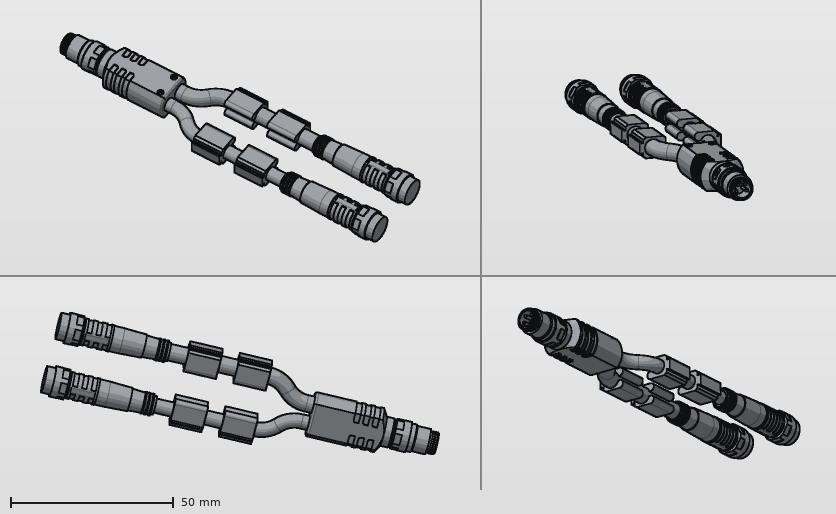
import math

import cadquery as cq


LENGTH = 122.1
WIDTH = 27.6

NUT_DIA = 9.6
NUT_FLAT_COUNT = 6
NUT_ACROSS_FLATS = 9.0
NUT_FLAT_LENGTH = 2.2

RIDGE_DIA = 7.0
RIDGE_BASE_DIA = 6.5

SLEEVE_DIA = 8.0
COLLAR_DIA = 8.8
COLLAR_BEVEL = 0.4
WAIST_DIA = 7.0
NECK_DIA = 9.3
NECK_ENTRY_DIA = 8.4
NECK_BEVEL = 0.6
TIP_RIDGE_STARTS = (0.4, 1.3)
TIP_RIDGE_LENGTH = 0.6
SLEEVE_START = 2.7
COLLAR_START = 7.0
MALE_NUT_START = 8.9
MALE_NUT_END = 13.5
NECK_START = 13.9
SOCKET_DIA = 5.3
SOCKET_DEPTH = 4.9
PIN_DIA = 1.0
PIN_TIP = 1.0
PIN_ROOT = 6.1
PIN_CIRCLE_DIA = 3.7
PIN_ANGLES = (-20, 52, 128, 200)

BODY_START = 16.8
BODY_END = 39.9
BODY_WIDTH = 14.0
BODY_HEIGHT = 9.4
BODY_TOP_WIDTH = 10.1
NOSE_LENGTH = 1.5
REAR_FILLET = 0.6
GRIP_FIRST = 19.4
GRIP_PITCH = 2.9
GRIP_COUNT = 3
GRIP_LENGTH = 1.7
GRIP_DEPTH = 0.3
GRIP_CORNER = 0.7
GRIP_GAP = 4.4
SCREW_X = 37.5
SCREW_SPACING = 7.5
SCREW_HEAD_DIA = 2.0
SCREW_HEAD_DEPTH = 0.6
SCREW_DIA = 1.1
SCREW_DEPTH = 1.8

CABLE_DIAS = {1: 5.3, -1: 4.5}
CABLE_SPACING = 6.1
CABLE_ANCHOR = 1.2
BEND_START = 42.1
BEND_END = 55.4
ARM_Y = (WIDTH - NUT_DIA) / 2

CLIP_STARTS = (55.4, 71.2)
CLIP_LENGTH = 10.3
CLIP_HEIGHT = 6.7
CLIP_INNER = 4.3
CLIP_OUTER = 4.4
CLIP_LIP_RADIUS = 1.2
CLIP_TOP_EDGE = 2.3
CLIP_LEDGE = 3.2
CLIP_LEDGE_HEIGHT = 5.4
CLIP_PLATE_HEIGHT = 3.9
CLIP_PLATE_THICKNESS = 0.7
CLIP_STEM_HEIGHT = 3.2
CLIP_MOUTH_HEIGHT = 1.5

RELIEF_START = 87.0
RELIEF_END = 91.0
RELIEF_ENTRY_DIA = 5.9
RELIEF_ENTRY_LENGTH = 0.9
RELIEF_RIDGE_FIRST = 87.9
RELIEF_RIDGE_PITCH = 1.2
RELIEF_RIDGE_COUNT = 3
RELIEF_RIDGE_LENGTH = 0.5
TAPER_STEP = 95.0
TAPER_STEP_DIA = 7.5
TAPER_END = 102.2
TAPER_END_DIA = 8.0
HANDLE_START = 105.4
HANDLE_DIA = 8.4
HANDLE_END = 114.3
HANDLE_NECK_DIA = 6.5
FEMALE_NUT_START = 114.9
FEMALE_NUT_END = 119.4
FEMALE_END_DIA = 8.4
HANDLE_GRIP_FIRST = 106.1
HANDLE_GRIP_PITCH = 2.9
HANDLE_GRIP_COUNT = 3
HANDLE_GRIP_LENGTH = 1.5
HANDLE_GRIP_DEPTH = 0.2
HANDLE_GRIP_GAP = 2.7
PAD_LENGTH = 7.6
PAD_WIDTH = 1.6


def turned(start, end, dia, end_dia=None):
    """Cylinder on the X axis, or a cone when the end diameter differs."""
    if end_dia is None:
        end_dia = dia
    outline = [(start, 0), (start, dia / 2), (end, end_dia / 2), (end, 0)]
    return cq.Workplane("XY").polyline(outline).close().revolve(360, (0, 0, 0), (1, 0, 0))


def block(start, length, y_min, y_max, z_min, z_max):
    size = (length, y_max - y_min, z_max - z_min)
    return cq.Workplane("XY").box(*size, centered=False).translate((start, y_min, z_min))


def nut(start, end, flats_start):
    """Round nut with flats along part of its length, one flat facing up."""
    ring = turned(start, end, NUT_DIA)
    flat = block(flats_start, NUT_FLAT_LENGTH, -NUT_DIA / 2, NUT_DIA / 2, NUT_ACROSS_FLATS / 2, NUT_DIA)
    for i in range(NUT_FLAT_COUNT):
        ring = ring.cut(flat.rotate((0, 0, 0), (1, 0, 0), i * 360 / NUT_FLAT_COUNT))
    return ring


def male_connector():
    plug = turned(0, SLEEVE_START, RIDGE_BASE_DIA)
    for start in TIP_RIDGE_STARTS:
        plug = plug.union(turned(start, start + TIP_RIDGE_LENGTH, RIDGE_DIA))
    plug = plug.union(turned(SLEEVE_START, COLLAR_START, SLEEVE_DIA))
    plug = plug.union(turned(COLLAR_START, COLLAR_START + COLLAR_BEVEL, SLEEVE_DIA, COLLAR_DIA))
    plug = plug.union(turned(COLLAR_START + COLLAR_BEVEL, MALE_NUT_START, COLLAR_DIA))
    plug = plug.union(nut(MALE_NUT_START, MALE_NUT_END, MALE_NUT_END - NUT_FLAT_LENGTH))
    plug = plug.union(turned(MALE_NUT_END, NECK_START, WAIST_DIA))
    plug = plug.union(turned(NECK_START, NECK_START + NECK_BEVEL, NECK_ENTRY_DIA, NECK_DIA))
    plug = plug.union(turned(NECK_START + NECK_BEVEL, BODY_START + NOSE_LENGTH, NECK_DIA))
    plug = plug.cut(turned(0, SOCKET_DEPTH, SOCKET_DIA))
    for angle in PIN_ANGLES:
        y = PIN_CIRCLE_DIA / 2 * math.cos(math.radians(angle))
        z = PIN_CIRCLE_DIA / 2 * math.sin(math.radians(angle))
        plug = plug.union(turned(PIN_TIP, PIN_ROOT, PIN_DIA).translate((0, y, z)))
    return plug


def body_prism(start, length, inset=0.0):
    """Junction body section, flat above and below with bowed sides."""
    top = BODY_HEIGHT / 2 - inset
    edge = BODY_TOP_WIDTH / 2
    side = BODY_WIDTH / 2 - inset
    section = (
        cq.Workplane("YZ", origin=(start, 0, 0))
        .moveTo(-edge, top)
        .lineTo(edge, top)
        .threePointArc((side, 0), (edge, -top))
        .lineTo(-edge, -top)
        .threePointArc((-side, 0), (-edge, top))
        .close()
    )
    return section.extrude(length)


def junction_body():
    body = body_prism(BODY_START, BODY_END - BODY_START).faces(">X").edges().fillet(REAR_FILLET)
    nose_end = BODY_START + NOSE_LENGTH
    envelope = turned(BODY_START, nose_end, NECK_DIA, BODY_WIDTH)
    body = body.intersect(envelope.union(turned(nose_end, BODY_END, 2 * BODY_WIDTH)))

    for i in range(GRIP_COUNT):
        start = GRIP_FIRST + i * GRIP_PITCH
        skin = body_prism(start, GRIP_LENGTH).cut(body_prism(start, GRIP_LENGTH, GRIP_DEPTH))
        slot = block(start, GRIP_LENGTH, GRIP_GAP / 2, BODY_WIDTH, -BODY_HEIGHT, BODY_HEIGHT)
        slot = slot.edges("|Z and >X and <Y").fillet(GRIP_CORNER).intersect(skin)
        body = body.cut(slot).cut(slot.mirror("XZ"))

    screws = (
        cq.Workplane("XY", origin=(0, 0, BODY_HEIGHT / 2))
        .pushPoints([(SCREW_X, SCREW_SPACING / 2), (SCREW_X, -SCREW_SPACING / 2)])
    )
    body = body.cut(screws.circle(SCREW_HEAD_DIA / 2).extrude(-SCREW_HEAD_DEPTH))
    return body.cut(screws.circle(SCREW_DIA / 2).extrude(-SCREW_DEPTH))


def cable(side):
    """Cable leaving the junction body and swinging out in an S-bend."""
    inner_y = side * CABLE_SPACING / 2
    outer_y = side * ARM_Y
    start = BODY_END - CABLE_ANCHOR
    path = (
        cq.Workplane("XY")
        .moveTo(start, inner_y)
        .lineTo(BEND_START, inner_y)
        .tangentArcPoint(((BEND_START + BEND_END) / 2, (inner_y + outer_y) / 2), relative=False)
        .tangentArcPoint((BEND_END, outer_y), relative=False)
        .lineTo(RELIEF_END, outer_y)
    )
    section = cq.Workplane("YZ", origin=(start, inner_y, 0)).circle(CABLE_DIAS[side] / 2)
    return section.sweep(path)


def clip(start, cable_dia):
    """Label clip with its mouth towards -Y and its label plate towards +Y."""
    top = CLIP_HEIGHT / 2
    ledge = CLIP_LEDGE_HEIGHT / 2
    plate = CLIP_PLATE_HEIGHT / 2
    stem = CLIP_STEM_HEIGHT / 2
    plate_back = CLIP_OUTER - CLIP_PLATE_THICKNESS
    prism = (
        cq.Workplane("YZ", origin=(start, 0, 0))
        .moveTo(-CLIP_INNER, top)
        .lineTo(CLIP_TOP_EDGE, top)
        .lineTo(CLIP_LEDGE, ledge)
        .lineTo(CLIP_LEDGE, stem)
        .lineTo(plate_back, stem)
        .lineTo(plate_back, plate)
        .lineTo(CLIP_OUTER, plate)
        .lineTo(CLIP_OUTER, -plate)
        .lineTo(plate_back, -plate)
        .lineTo(plate_back, -stem)
        .lineTo(CLIP_LEDGE, -stem)
        .lineTo(CLIP_LEDGE, -ledge)
        .lineTo(CLIP_TOP_EDGE, -top)
        .lineTo(-CLIP_INNER, -top)
        .close()
        .extrude(CLIP_LENGTH)
    )
    mouth = block(start, CLIP_LENGTH, -CLIP_INNER, 0, -CLIP_MOUTH_HEIGHT / 2, CLIP_MOUTH_HEIGHT / 2)
    prism = prism.cut(mouth).edges("|X and <Y").fillet(CLIP_LIP_RADIUS)
    return prism.union(turned(start, start + CLIP_LENGTH, cable_dia))


def handle():
    """Female connector handle with grip slots on both sides and flat pads above and below."""
    radius = HANDLE_DIA / 2
    grip = turned(HANDLE_START, HANDLE_END, HANDLE_DIA)
    for i in range(HANDLE_GRIP_COUNT):
        start = HANDLE_GRIP_FIRST + i * HANDLE_GRIP_PITCH
        end = start + HANDLE_GRIP_LENGTH
        skin = turned(start, end, HANDLE_DIA).cut(turned(start, end, HANDLE_DIA - 2 * HANDLE_GRIP_DEPTH))
        gap = HANDLE_GRIP_GAP / 2
        grip = grip.cut(skin.cut(block(start, HANDLE_GRIP_LENGTH, -gap, gap, -radius, radius)))
    pad_level = math.sqrt(radius**2 - (PAD_WIDTH / 2) ** 2)
    pad = block(HANDLE_GRIP_FIRST, PAD_LENGTH, -PAD_WIDTH, PAD_WIDTH, pad_level, HANDLE_DIA)
    return grip.cut(pad).cut(pad.mirror("XY"))


def female_connector():
    socket = turned(RELIEF_START, RELIEF_END, RELIEF_ENTRY_DIA)
    socket = socket.union(turned(RELIEF_START + RELIEF_ENTRY_LENGTH, RELIEF_END, RIDGE_BASE_DIA))
    for i in range(RELIEF_RIDGE_COUNT):
        start = RELIEF_RIDGE_FIRST + i * RELIEF_RIDGE_PITCH
        socket = socket.union(turned(start, start + RELIEF_RIDGE_LENGTH, RIDGE_DIA))
    socket = socket.union(turned(RELIEF_END, TAPER_STEP, RIDGE_BASE_DIA, RIDGE_DIA))
    socket = socket.union(turned(TAPER_STEP, TAPER_END, TAPER_STEP_DIA, TAPER_END_DIA))
    socket = socket.union(turned(TAPER_END, HANDLE_START, TAPER_END_DIA))
    socket = socket.union(handle())
    socket = socket.union(turned(HANDLE_END, FEMALE_NUT_START, HANDLE_NECK_DIA))
    socket = socket.union(nut(FEMALE_NUT_START, FEMALE_NUT_END, FEMALE_NUT_START))
    return socket.union(turned(FEMALE_NUT_END, LENGTH, FEMALE_END_DIA))


def arm(side):
    """Clips and female connector of one cable, with the clip mouths facing the middle."""
    parts = female_connector()
    for start in CLIP_STARTS:
        label_clip = clip(start, CABLE_DIAS[side])
        if side < 0:
            label_clip = label_clip.mirror("XZ")
        parts = parts.union(label_clip)
    return parts.translate((0, side * ARM_Y, 0)).union(cable(side))


result = male_connector().union(junction_body()).union(arm(1)).union(arm(-1))